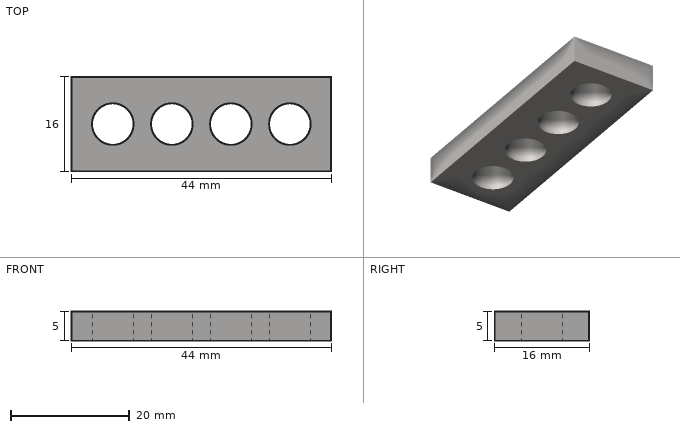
import cadquery as cq

length = 44.0
width = 16.0
thickness = 5.0

hole_count = 4
hole_diameter = 7.0
hole_pitch = 10.0


def make_plate():
    """Rectangular plate, centred in X and Y, with its underside at Z = 0."""
    return cq.Workplane("XY").box(length, width, thickness, centered=(True, True, False))


def drill_hole_row(plate):
    """Drill the evenly spaced holes along the plate's long centreline."""
    return (
        plate.faces(">Z")
        .workplane(origin=(0, 0, thickness))
        .rarray(hole_pitch, 1, hole_count, 1)
        .hole(hole_diameter)
    )


result = drill_hole_row(make_plate())